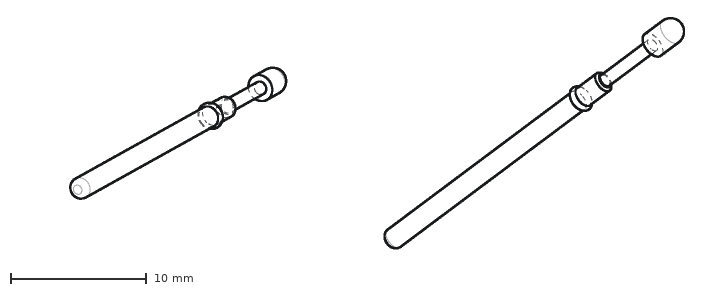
import cadquery as cq
import math


head_diameter = 2.0
head_length = 3.0
shaft_diameter = 1.0
plunger_exposed_length = 8.3

overall_length = 32.3
barrel_diameter = 1.6
mouth_chamfer = 0.2
tail_rounding = 0.45

ring_diameter = 2.0
ring_width = 0.6
ring_distance_from_mouth = 2.7

head_radius = head_diameter / 2
shaft_radius = shaft_diameter / 2
barrel_radius = barrel_diameter / 2
mouth_radius = barrel_radius - mouth_chamfer
tip_y = plunger_exposed_length
dome_base_y = tip_y - head_radius
head_base_y = tip_y - head_length
tail_y = tip_y - overall_length
ring_center_y = -ring_distance_from_mouth


def revolve_about_y(profile):
    """Turn a closed half profile through a full revolution about the Y axis."""
    return profile.revolve(360, (0, 0), (0, 1))


def make_plunger():
    """Domed head on a slim shaft that reaches just inside the barrel mouth."""
    dome_angle = math.pi / 4
    dome_midpoint = (
        head_radius * math.cos(dome_angle),
        dome_base_y + head_radius * math.sin(dome_angle),
    )
    profile = (
        cq.Workplane("XY")
        .moveTo(0, -mouth_chamfer)
        .lineTo(shaft_radius, -mouth_chamfer)
        .lineTo(shaft_radius, head_base_y)
        .lineTo(head_radius, head_base_y)
        .lineTo(head_radius, dome_base_y)
        .threePointArc(dome_midpoint, (0, tip_y))
        .close()
    )
    return revolve_about_y(profile)


def make_barrel():
    """Long barrel with a chamfered mouth and a rounded tail."""
    tail_flat_radius = barrel_radius - tail_rounding
    profile = (
        cq.Workplane("XY")
        .moveTo(0, tail_y)
        .lineTo(tail_flat_radius, tail_y)
        .radiusArc((barrel_radius, tail_y + tail_rounding), -tail_rounding)
        .lineTo(barrel_radius, -mouth_chamfer)
        .lineTo(mouth_radius, 0)
        .lineTo(0, 0)
        .close()
    )
    return revolve_about_y(profile)


def make_press_ring():
    """Rounded bead standing proud of the barrel wall."""
    ring_radius = ring_diameter / 2
    ring_front_y = ring_center_y + ring_width / 2
    ring_back_y = ring_center_y - ring_width / 2
    profile = (
        cq.Workplane("XY")
        .moveTo(0, ring_back_y)
        .lineTo(barrel_radius, ring_back_y)
        .threePointArc((ring_radius, ring_center_y), (barrel_radius, ring_front_y))
        .lineTo(0, ring_front_y)
        .close()
    )
    return revolve_about_y(profile)


result = make_barrel().union(make_press_ring()).union(make_plunger())